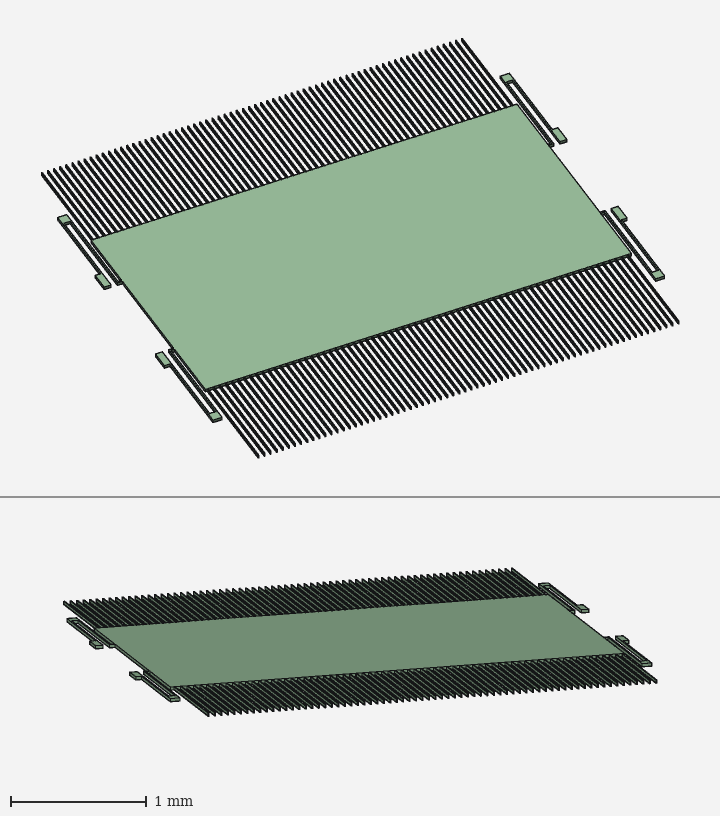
import cadquery as cq

thickness = 0.025

plate_width = 1.9
plate_length = 3.5

overall_width = 3.6
finger_count = 70
finger_pitch = 0.05
finger_width = 0.007
first_finger_clearance = 0.014
finger_length = (overall_width - plate_width) / 2

overall_length = 3.8
spring_inner_x = 0.425
spring_outer_x = 1.29
spring_gap = 0.03
beam_width = 0.0125
fold_block_length = 0.08
fold_block_width = 0.075
link_length = 0.015
anchor_length = 0.15


def box_between(x_start, x_end, y_start, y_end):
    """Full-thickness box, centred on Z = 0, spanning the given X and Y limits."""
    centre = ((x_start + x_end) / 2, (y_start + y_end) / 2, 0)
    return cq.Workplane("XY").box(x_end - x_start, y_end - y_start, thickness).translate(centre)


def make_comb_plate():
    """Plate with a row of straight fingers standing out from each long side."""
    plate = cq.Workplane("XY").box(plate_width, plate_length, thickness)
    first_y = -plate_length / 2 + first_finger_clearance + finger_width / 2
    finger_x = (plate_width + finger_length) / 2
    finger_centres = []
    for index in range(finger_count):
        y = first_y + index * finger_pitch
        finger_centres.append((-finger_x, y))
        finger_centres.append((finger_x, y))
    fingers = (
        cq.Workplane("XY", origin=(0, 0, -thickness / 2))
        .pushPoints(finger_centres)
        .rect(finger_length, finger_width)
        .extrude(thickness)
    )
    return plate.union(fingers)


def make_spring():
    """Folded spring at the +X +Y corner: link, two beams, fold block and anchor pad."""
    plate_edge = plate_length / 2
    fold_bottom = plate_edge + spring_gap
    fold_top = fold_bottom + fold_block_width
    fold_inner_x = spring_outer_x - fold_block_length
    inner_beam_top = fold_bottom + beam_width
    outer_beam_bottom = fold_top - beam_width
    link_end_x = spring_inner_x + link_length
    anchor_end_x = spring_inner_x + anchor_length

    link = box_between(spring_inner_x, link_end_x, plate_edge, inner_beam_top)
    inner_beam = box_between(spring_inner_x, fold_inner_x, fold_bottom, inner_beam_top)
    fold_block = box_between(fold_inner_x, spring_outer_x, fold_bottom, fold_top)
    outer_beam = box_between(spring_inner_x, fold_inner_x, outer_beam_bottom, fold_top)
    anchor = box_between(spring_inner_x, anchor_end_x, outer_beam_bottom, overall_length / 2)
    return link.union(inner_beam).union(fold_block).union(outer_beam).union(anchor)


corner_spring = make_spring()
right_springs = corner_spring.union(corner_spring.mirror("XZ"))
all_springs = right_springs.union(right_springs.mirror("YZ"))

result = make_comb_plate().union(all_springs)